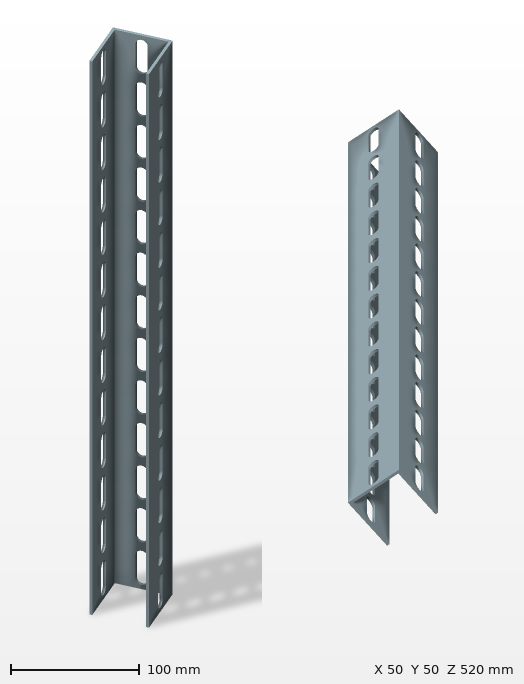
import cadquery as cq

LENGTH = 520.0
WIDTH = 50.0
DEPTH = 50.0
THICKNESS = 2.5

SLOT_PITCH = 40.0
SLOT_LENGTH = 32.0
SLOT_WIDTH = 10.0
SLOT_COUNT = int(LENGTH / SLOT_PITCH)

WEB_OUTER_Y = DEPTH / 2
WEB_INNER_Y = WEB_OUTER_Y - THICKNESS
FLANGE_EDGE_Y = -DEPTH / 2
FLANGE_SLOT_Y = (WEB_INNER_Y + FLANGE_EDGE_Y) / 2


def make_channel():
    """Sharp-cornered U channel standing along Z, centred on the origin."""
    outside = cq.Workplane("XY").box(WIDTH, DEPTH, LENGTH)
    inside = (
        cq.Workplane("XY")
        .box(WIDTH - 2 * THICKNESS, DEPTH - THICKNESS, LENGTH)
        .translate((0, -THICKNESS / 2, 0))
    )
    return outside.cut(inside)


def slot_row(plane, across, span):
    """Row of round-ended slot cutters along Z, passing through the whole span."""
    return (
        cq.Workplane(plane)
        .center(across, 0)
        .rarray(1, SLOT_PITCH, 1, SLOT_COUNT)
        .slot2D(SLOT_LENGTH, SLOT_WIDTH, 90)
        .extrude(span, both=True)
    )


web_slots = slot_row("XZ", 0, DEPTH)
flange_slots = slot_row("YZ", FLANGE_SLOT_Y, WIDTH)

result = make_channel().cut(web_slots).cut(flange_slots)